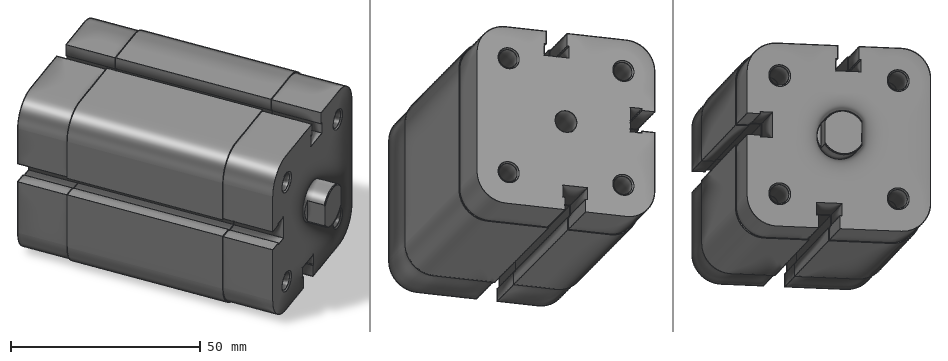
import cadquery as cq

cap_length = 14.5
barrel_length = 45.5
rod_reach = 6.0
barrel_start = cap_length
barrel_end = barrel_start + barrel_length
front_face = barrel_end + cap_length
rod_end = front_face + rod_reach

barrel_width = 50.0
corner_radius = 8.0
cap_inset = 0.25

slot_offset = 2.6
slot_mouth = 5.3
slot_wide = 6.35
slot_depth = 6.85
slot_mouth_depth = 3.55
slot_turns = (0, 90, 180)

screw_pitch = 31.95
screw_hole = 5.1
screw_chamfer = 0.4

centring_hole = 6.0

rod_diameter = 12.0
rod_chamfer = 0.25
across_flats = 10.0
flat_length = 5.1
flat_run_out = 0.4


def slot_cutter(start, length, inset):
    """T-shaped bar that cuts the slot of the +Z face."""
    top = barrel_width / 2
    floor = top - slot_depth - inset
    ledge = top - slot_mouth_depth - inset
    mouth_half = slot_mouth / 2 + inset
    wide_half = slot_wide / 2 + inset
    return (
        cq.Workplane("YZ", origin=(start, slot_offset, 0))
        .moveTo(-mouth_half, top)
        .lineTo(-mouth_half, ledge)
        .lineTo(-wide_half, ledge)
        .lineTo(-wide_half, floor)
        .lineTo(wide_half, floor)
        .lineTo(wide_half, ledge)
        .lineTo(mouth_half, ledge)
        .lineTo(mouth_half, top)
        .close()
        .extrude(length)
    )


def slotted_block(start, length, inset):
    """Rounded square block with three T-slots and four screw holes."""
    width = barrel_width - 2 * inset
    block = (
        cq.Workplane("YZ", origin=(start, 0, 0))
        .rect(width, width)
        .extrude(length)
        .edges("|X")
        .fillet(corner_radius)
    )
    slot = slot_cutter(start, length, inset)
    for turn in slot_turns:
        block = block.cut(slot.rotate((0, 0, 0), (1, 0, 0), turn))
    screw_holes = (
        cq.Workplane("YZ", origin=(start, 0, 0))
        .rect(screw_pitch, screw_pitch, forConstruction=True)
        .vertices()
        .circle(screw_hole / 2)
        .extrude(length)
    )
    return block.cut(screw_holes)


def chamfer_screw_holes(cap, outer_face):
    """Break the screw-hole rims on the outer face of a cap."""
    smallest_circles = cq.selectors.RadiusNthSelector(0)
    rims = cap.faces(outer_face).edges("%CIRCLE").edges(smallest_circles)
    return rims.chamfer(screw_chamfer)


def axial_cylinder(start, length, diameter):
    """Cylinder on the X axis."""
    return cq.Workplane("YZ", origin=(start, 0, 0)).circle(diameter / 2).extrude(length)


def make_barrel():
    return slotted_block(barrel_start, barrel_length, 0)


def make_rear_cap():
    cap = chamfer_screw_holes(slotted_block(0, cap_length, cap_inset), "<X")
    return cap.cut(axial_cylinder(0, cap_length, centring_hole))


def make_front_cap():
    cap = chamfer_screw_holes(slotted_block(barrel_end, cap_length, cap_inset), ">X")
    return cap.cut(axial_cylinder(barrel_end, cap_length, rod_diameter))


def make_piston_rod():
    """Rod seated against the barrel, with two wrench flats at its tip."""
    rod = axial_cylinder(barrel_end, rod_end - barrel_end, rod_diameter)
    rod = rod.faces(">X").chamfer(rod_chamfer)
    flat = across_flats / 2
    flat_start = rod_end - flat_length
    flat_cutter = (
        cq.Workplane("XY")
        .moveTo(rod_end, flat)
        .lineTo(flat_start, flat)
        .lineTo(flat_start - flat_run_out, rod_diameter / 2)
        .lineTo(rod_end, rod_diameter / 2)
        .close()
        .extrude(rod_diameter / 2, both=True)
    )
    return rod.cut(flat_cutter).cut(flat_cutter.mirror("XZ"))


barrel = make_barrel()
rear_cap = make_rear_cap()
front_cap = make_front_cap()
piston_rod = make_piston_rod()

result = cq.Compound.makeCompound(
    [barrel.val(), rear_cap.val(), front_cap.val(), piston_rod.val()]
)